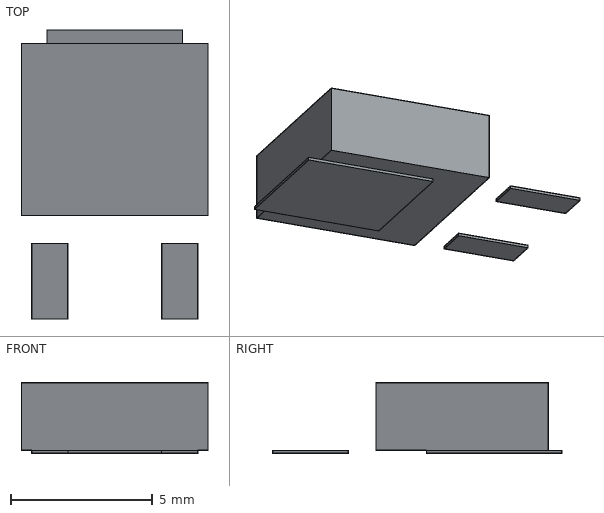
import cadquery as cq

body_width = 6.6
body_depth = 6.1
body_height = 2.4

contact_thickness = 0.1

tab_size = 4.8
tab_overhang = 0.48

pad_width = 1.28
pad_length = 2.68
pad_pitch = 4.6
overall_depth = 10.24

body_back = body_depth / 2
tab_back = body_back + tab_overhang
tab_center_y = tab_back - tab_size / 2
pad_center_y = tab_back - overall_depth + pad_length / 2


def plate(width, depth, thickness, x, y, bottom_z):
    """Rectangular block centred at (x, y) and resting on the level bottom_z."""
    block = cq.Workplane("XY").box(width, depth, thickness, centered=(True, True, False))
    return block.translate((x, y, bottom_z))


def make_body():
    return plate(body_width, body_depth, body_height, 0, 0, contact_thickness)


def make_heat_tab():
    return plate(tab_size, tab_size, contact_thickness, 0, tab_center_y, 0)


def make_lead_pad(x):
    return plate(pad_width, pad_length, contact_thickness, x, pad_center_y, 0)


body = make_body()
heat_tab = make_heat_tab()
lead_pads = [make_lead_pad(side * pad_pitch / 2) for side in (-1, 1)]

result = cq.Compound.makeCompound(
    [body.val(), heat_tab.val(), *[pad.val() for pad in lead_pads]]
)